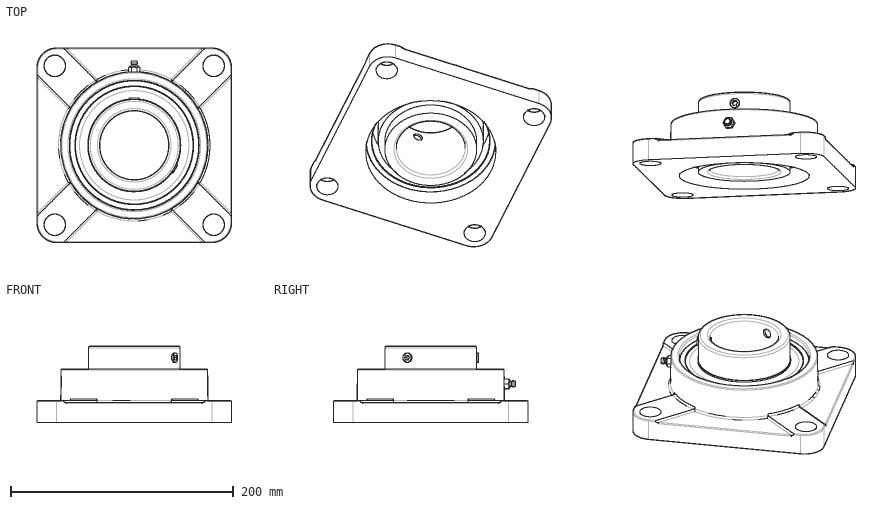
import cadquery as cq
import math

FLANGE_SIDE = 175.0
CORNER_RADIUS = 17.8
FLANGE_HEIGHT = 17.8
PAD_WIDTH = 33.6
BOLT_SPACING = 142.8
BOLT_HOLE_DIAMETER = 19.0
EDGE_ROUNDING = 0.9
FOOT_ROUNDING = 1.8
PAD_HEIGHT = FLANGE_HEIGHT + FOOT_ROUNDING

BOSS_HEIGHT = 48.0
BOSS_TOP_DIAMETER = 132.0
BOSS_BOTTOM_DIAMETER = 132.6
SEAT_DIAMETER = 116.9
MOUTH_ROUNDING = 1.2

TOTAL_HEIGHT = 68.8
OUTER_RING_TOP = 42.9
OUTER_RING_WIDTH = 27.3
OUTER_RING_BORE = 105.7
OUTER_RING_CHAMFER = 0.5
INNER_RING_WIDTH = 65.1
COLLAR_DIAMETER = 82.6
SHOULDER_DIAMETER = 83.6
SHOULDER_TOP = 44.1
INNER_RING_BORE = 62.0
RACE_DIAMETER = 94.5
COLLAR_ROUNDING = 1.8
BORE_ROUNDING = 2.1

SEAL_RIM_DIAMETER = 98.4
SEAL_RECESS = 0.7
SEAL_THICKNESS = 2.1
SEAL_RISE = 0.5

SCREW_DIAMETER = 8.4
SCREW_HEIGHT = 58.3
SCREW_ANGLES = (90.0, -30.0)
SCREW_TIP_RADIUS = 32.7
SCREW_HEAD_RADIUS = 42.7
SOCKET_ACROSS_FLATS = 4.2
SOCKET_DEPTH = 3.5

NIPPLE_HEIGHT = 34.8
NIPPLE_SHANK_DIAMETER = 6.0
NIPPLE_SHANK_LENGTH = 5.2
HEX_ACROSS_FLATS = 9.0
HEX_BASE_Y = 65.8
HEX_CONE_START_DIAMETER = 10.5
HEX_CONE_START_Y = 69.5
HEX_CONE_END_DIAMETER = 6.6
NECK_DIAMETER = 4.5
HEAD_START_Y = 72.6
HEAD_DIAMETER = 6.0
HEAD_RIDGE_Y = 73.8
NIPPLE_TIP_Y = 76.0
NIPPLE_TIP_DIAMETER = 4.9


def revolved(points):
    """Solid of revolution about Z from (radius, height) points."""
    return cq.Workplane("XZ").polyline(points).close().revolve(360, (0, 0, 0), (0, 1, 0))


def hex_corner_diameter(across_flats):
    return across_flats / math.cos(math.pi / 6)


def flange_block(height):
    block = cq.Workplane("XY").rect(FLANGE_SIDE, FLANGE_SIDE).extrude(height)
    return block.edges("|Z").fillet(CORNER_RADIUS)


def pad_strip(angle):
    """Strip across the whole flange on one diagonal, with a coved foot along both sides."""
    side = PAD_WIDTH / 2
    foot = side + FOOT_ROUNDING
    inset = FOOT_ROUNDING * (1 - math.sqrt(0.5))
    half_section = (
        cq.Workplane("XZ", origin=(0, FLANGE_SIDE, 0))
        .lineTo(foot, 0)
        .lineTo(foot, FLANGE_HEIGHT)
        .threePointArc((side + inset, FLANGE_HEIGHT + inset), (side, PAD_HEIGHT))
        .lineTo(0, PAD_HEIGHT)
        .close()
    )
    half = half_section.extrude(2 * FLANGE_SIDE)
    return half.union(half.mirror("YZ")).rotate((0, 0, 0), (0, 0, 1), angle)


def diagonal_bar(angle):
    """Plain bar as wide as the top of a pad, taller than the foot of the boss."""
    bar = cq.Workplane("XY").rect(2 * FLANGE_SIDE, PAD_WIDTH).extrude(PAD_HEIGHT + FOOT_ROUNDING)
    return bar.rotate((0, 0, 0), (0, 0, 1), angle)


def make_corner_pads():
    """Raised diagonal strips from the coved foot of the boss out to the rounded corners."""
    block = flange_block(PAD_HEIGHT).faces(">Z").edges().fillet(EDGE_ROUNDING)
    strips = pad_strip(45).union(pad_strip(-45))
    foot_limits = diagonal_bar(45).union(diagonal_bar(-45))
    feet = make_boss(PAD_HEIGHT).intersect(foot_limits)
    return block.intersect(strips).union(feet)


def make_boss(floor):
    """Tapered boss from the base plane up, with a coved foot that meets a floor height."""
    foot_radius = BOSS_BOTTOM_DIAMETER / 2 + FOOT_ROUNDING
    inset = FOOT_ROUNDING * (1 - math.sqrt(0.5))
    boss = (
        cq.Workplane("XZ")
        .lineTo(foot_radius, 0)
        .lineTo(foot_radius, floor)
        .threePointArc(
            (BOSS_BOTTOM_DIAMETER / 2 + inset, floor + inset),
            (BOSS_BOTTOM_DIAMETER / 2, floor + FOOT_ROUNDING),
        )
        .lineTo(BOSS_TOP_DIAMETER / 2, BOSS_HEIGHT)
        .lineTo(0, BOSS_HEIGHT)
        .close()
        .revolve(360, (0, 0, 0), (0, 1, 0))
    )
    return boss.faces(">Z").edges().fillet(EDGE_ROUNDING)


def make_housing(nipple):
    flange = flange_block(FLANGE_HEIGHT).faces(">Z").edges().fillet(EDGE_ROUNDING)
    body = flange.union(make_corner_pads()).union(make_boss(FLANGE_HEIGHT))
    seat = cq.Workplane("XY").circle(SEAT_DIAMETER / 2).extrude(BOSS_HEIGHT)
    bolt_holes = (
        cq.Workplane("XY")
        .rect(BOLT_SPACING, BOLT_SPACING, forConstruction=True)
        .vertices()
        .circle(BOLT_HOLE_DIAMETER / 2)
        .extrude(PAD_HEIGHT)
    )
    body = body.cut(seat).cut(bolt_holes)
    body = body.faces(">Z").edges("%CIRCLE").edges(cq.selectors.RadiusNthSelector(0)).fillet(MOUTH_ROUNDING)
    return body.cut(nipple)


def make_outer_ring():
    bottom = OUTER_RING_TOP - OUTER_RING_WIDTH
    ring = (
        cq.Workplane("XY", origin=(0, 0, bottom))
        .circle(SEAT_DIAMETER / 2)
        .circle(OUTER_RING_BORE / 2)
        .extrude(OUTER_RING_WIDTH)
    )
    return ring.faces("<Z or >Z").edges().chamfer(OUTER_RING_CHAMFER)


def make_seal():
    top = OUTER_RING_TOP - SEAL_RECESS
    bottom = top - SEAL_THICKNESS
    return revolved([
        (SHOULDER_DIAMETER / 2, bottom),
        (OUTER_RING_BORE / 2, bottom),
        (OUTER_RING_BORE / 2, top),
        (SEAL_RIM_DIAMETER / 2, top),
        (SHOULDER_DIAMETER / 2, top + SEAL_RISE),
    ])


def make_inner_ring():
    """Sleeve with a rounded collar and the thicker race under the seal."""
    race_bottom = OUTER_RING_TOP - OUTER_RING_WIDTH
    race_top = OUTER_RING_TOP - SEAL_RECESS - SEAL_THICKNESS
    sleeve = cq.Workplane("XY", origin=(0, 0, TOTAL_HEIGHT - INNER_RING_WIDTH))
    sleeve = sleeve.circle(COLLAR_DIAMETER / 2).extrude(INNER_RING_WIDTH)
    sleeve = sleeve.edges(">Z").fillet(COLLAR_ROUNDING)
    race = cq.Workplane("XY", origin=(0, 0, race_bottom))
    race = race.circle(RACE_DIAMETER / 2).extrude(race_top - race_bottom)
    shoulder = cq.Workplane("XY", origin=(0, 0, race_bottom))
    shoulder = shoulder.circle(SHOULDER_DIAMETER / 2).extrude(SHOULDER_TOP - race_bottom)
    bore = cq.Workplane("XY").circle(INNER_RING_BORE / 2).extrude(TOTAL_HEIGHT)
    ring = sleeve.union(shoulder).union(race).cut(bore)
    ring = ring.faces("<Z or >Z").edges(cq.selectors.RadiusNthSelector(0)).fillet(BORE_ROUNDING)
    for angle in SCREW_ANGLES:
        ring = ring.cut(screw_hole(angle))
    return ring


def screw_plane(angle, radius):
    """Plane square to a screw axis, facing outwards, at a distance from the bearing axis."""
    direction = cq.Vector(math.cos(math.radians(angle)), math.sin(math.radians(angle)), 0)
    origin = direction * radius + cq.Vector(0, 0, SCREW_HEIGHT)
    return cq.Plane(origin=origin, xDir=direction.cross(cq.Vector(0, 0, 1)), normal=direction)


def screw_hole(angle):
    return cq.Workplane(screw_plane(angle, 0)).circle(SCREW_DIAMETER / 2).extrude(COLLAR_DIAMETER)


def make_set_screw(angle):
    length = SCREW_HEAD_RADIUS - SCREW_TIP_RADIUS
    screw = cq.Workplane(screw_plane(angle, SCREW_TIP_RADIUS)).circle(SCREW_DIAMETER / 2).extrude(length)
    socket = (
        cq.Workplane(screw_plane(angle, SCREW_HEAD_RADIUS - SOCKET_DEPTH))
        .polygon(6, hex_corner_diameter(SOCKET_ACROSS_FLATS))
        .extrude(SOCKET_DEPTH)
    )
    return screw.cut(socket)


def turned_along_y(points):
    """Solid of revolution about the nipple axis from (radius, Y) points."""
    profile = cq.Workplane("XY", origin=(0, 0, NIPPLE_HEIGHT)).polyline(points).close()
    return profile.revolve(360, (0, 0, 0), (0, 1, 0))


def make_nipple():
    """Hexagon turned to a 45 degree cone, on a plain shank, with a neck and a ribbed head."""
    neck_radius = NECK_DIAMETER / 2
    neck_y = HEX_CONE_START_Y + (HEX_CONE_START_DIAMETER - HEX_CONE_END_DIAMETER) / 2
    shank_radius = NIPPLE_SHANK_DIAMETER / 2
    shank_end_y = HEX_BASE_Y - NIPPLE_SHANK_LENGTH
    hexagon = (
        cq.Workplane("XZ", origin=(0, HEX_BASE_Y, NIPPLE_HEIGHT))
        .polygon(6, hex_corner_diameter(HEX_ACROSS_FLATS))
        .extrude(HEX_BASE_Y - neck_y)
    )
    cone = turned_along_y([
        (0, HEX_BASE_Y),
        (HEX_CONE_START_DIAMETER / 2, HEX_BASE_Y),
        (HEX_CONE_START_DIAMETER / 2, HEX_CONE_START_Y),
        (HEX_CONE_END_DIAMETER / 2, neck_y),
        (0, neck_y),
    ])
    shank = turned_along_y([
        (0, shank_end_y),
        (shank_radius, shank_end_y),
        (shank_radius, HEX_BASE_Y),
        (0, HEX_BASE_Y),
    ])
    head = turned_along_y([
        (0, neck_y),
        (neck_radius, neck_y),
        (neck_radius, HEAD_START_Y),
        (HEAD_DIAMETER / 2, HEAD_RIDGE_Y),
        (NIPPLE_TIP_DIAMETER / 2, NIPPLE_TIP_Y),
        (0, NIPPLE_TIP_Y),
    ])
    return hexagon.intersect(cone).union(shank).union(head)


nipple = make_nipple()
housing = make_housing(nipple)
outer_ring = make_outer_ring()
seal = make_seal()
set_screws = [make_set_screw(angle) for angle in SCREW_ANGLES]
inner_ring = make_inner_ring()

result = cq.Compound.makeCompound([
    housing.val(),
    outer_ring.val(),
    seal.val(),
    inner_ring.val(),
    *[screw.val() for screw in set_screws],
    nipple.val(),
])